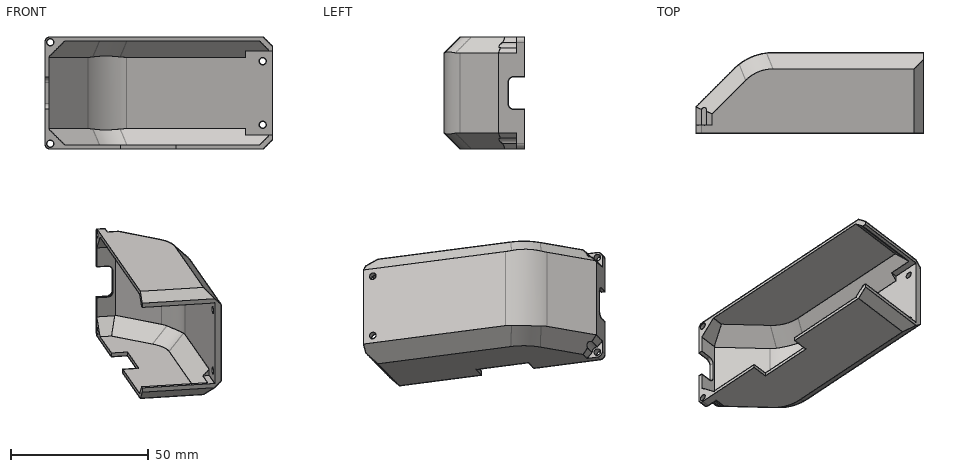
import cadquery as cq
import math

length = 83.1
depth = 29.5
height = 41.0

side_wall = 1.5
back_wall = 2.5
ramp_wall = 3.0
corner_wall = 2.0

ramp_start = 9.65
bevel = 6.0
bend_radius = 19.95
ramp_angle = 45.0

left_corner_radius = 2.0
right_chamfer = 3.5

screw_hole_diameter = 2.5
screw_inset = 2.0
screw_head_diameter = 4.0
screw_tab_thickness = 3.0
recess_leg = 6.0

back_hole_inset = 3.65
back_hole_spacing = 23.2

end_opening_height = 30.75
end_opening_length = 10.0
port_height = 11.8
port_depth = 6.0
port_radius = 2.0
notch_start = 27.6
notch_length = 20.2
notch_depth = 6.0

half_height = height / 2
far_right = 2 * length
ramp_tan = math.tan(math.radians(ramp_angle))
ramp_sin = math.sin(math.radians(ramp_angle))
bend_slope = math.tan(math.radians(ramp_angle / 2))
outer_bend = (depth - ramp_start) / ramp_tan


def extrude_y(sketch, start, end):
    """Extrude a sketch drawn on the XZ plane from Y = start to Y = end."""
    return sketch.extrude(start - end).translate((0, start, 0))


def block(x_range, y_range, z_range):
    """Box spanning the given ranges."""
    sizes = [high - low for low, high in (x_range, y_range, z_range)]
    corner = (x_range[0], y_range[0], z_range[0])
    return cq.Workplane("XY").box(*sizes, centered=False).translate(corner)


def ramp_outline(plane, bend_x, back_y):
    """Flat back and 45 degree ramp, meeting at a sharp bend."""
    return (
        plane.moveTo(bend_x, back_y)
        .lineTo(far_right, back_y)
        .lineTo(far_right, 0)
        .lineTo(bend_x - back_y / ramp_tan, 0)
        .close()
    )


def bevel_body(bend_x, back_y, half):
    """Body whose back and ramp lean in at 45 degrees and reach the full bevel at Z = half."""
    low_inset = bevel - 2 * half
    low_x, low_y = bend_x + low_inset * bend_slope, back_y - low_inset
    high_x, high_y = bend_x + bevel * bend_slope, back_y - bevel
    low_outline = ramp_outline(cq.Workplane("XY").workplane(offset=-half), low_x, low_y)
    outlines = ramp_outline(low_outline.workplane(offset=2 * half), high_x, high_y)
    sharp = outlines.loft(ruled=True)
    bend_middle = ((low_x + high_x) / 2, (low_y + high_y) / 2, 0)
    return sharp.edges(cq.selectors.NearestToPointSelector(bend_middle)).fillet(bend_radius)


def ramped_body(bend_x, back_y, half):
    """Ramped body with a rounded bend and bevelled top and bottom back edges."""
    middle = ramp_outline(cq.Workplane("XY").workplane(offset=-half), bend_x, back_y).extrude(2 * half)
    middle = middle.edges(cq.selectors.NearestToPointSelector((bend_x, back_y, 0))).fillet(bend_radius)
    upper = bevel_body(bend_x, back_y, half)
    lower = upper.mirror("XY")
    return middle.intersect(upper).intersect(lower)


def make_outside():
    """Solid outer shape of the shell."""
    body = block((0, length), (0, depth), (-half_height, half_height))
    body = body.edges("|Y and <X").fillet(left_corner_radius)
    body = body.edges("|Y and >X").chamfer(right_chamfer)
    tabs = block((0, recess_leg), (0, screw_tab_thickness), (-half_height, half_height))
    return body.intersect(ramped_body(outer_bend, depth, half_height).union(tabs))


def make_cavity():
    """Hollow inside the shell, open at Y = 0."""
    inner_half = half_height - side_wall
    leg_growth = corner_wall * math.sqrt(2) - 2 * side_wall
    body = block((side_wall, length - side_wall), (0, depth), (-inner_half, inner_half))
    body = body.edges("|Y and <X").chamfer(recess_leg + leg_growth)
    body = body.edges("|Y and >X").chamfer(right_chamfer + leg_growth)
    inner_bend = outer_bend + ramp_wall / ramp_sin - back_wall / ramp_tan
    return body.intersect(ramped_body(inner_bend, depth - back_wall, inner_half))


def cylinder_y(diameter, x, z, start=0.0):
    """Cylinder along Y, from Y = start through the back."""
    return extrude_y(cq.Workplane("XZ").center(x, z).circle(diameter / 2), start, depth)


def corner_recess(side):
    """Cut-off left corner with screw head clearance, on the top (side = 1) or bottom (side = -1)."""
    edge_z = side * half_height
    corner = cq.Workplane("XZ").polyline(
        [(0, edge_z), (recess_leg, edge_z), (0, edge_z - side * recess_leg)]
    ).close()
    recess = extrude_y(corner, screw_tab_thickness, depth)
    screw_z = side * (half_height - screw_inset)
    head = cylinder_y(screw_head_diameter, screw_inset, screw_z, screw_tab_thickness)
    hole = cylinder_y(screw_hole_diameter, screw_inset, screw_z)
    return recess.union(head).union(hole)


def make_end_opening():
    """Opening through the right end, level with the inside of the flat back."""
    half_opening = end_opening_height / 2
    return block(
        (length - end_opening_length, length),
        (0, depth - back_wall),
        (-half_opening, half_opening),
    )


def make_port():
    """Connector opening in the left end wall."""
    half_port = port_height / 2
    port = block((0, side_wall), (0, port_depth), (-half_port, half_port))
    return port.edges("|X and >Y").fillet(port_radius)


def make_notch():
    """Notch in the bottom wall."""
    return block(
        (notch_start, notch_start + notch_length),
        (0, notch_depth),
        (-half_height, -half_height + side_wall),
    )


result = make_outside().cut(make_cavity())
for side in (1, -1):
    result = result.cut(corner_recess(side))
    result = result.cut(
        cylinder_y(screw_hole_diameter, length - back_hole_inset, side * back_hole_spacing / 2)
    )
result = result.cut(make_end_opening()).cut(make_port()).cut(make_notch())